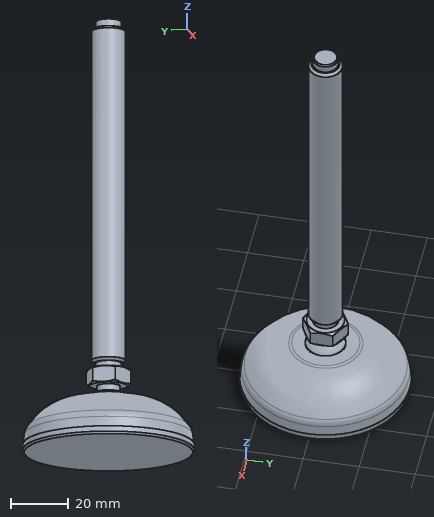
import cadquery as cq
import math


total_height = 154.7
foot_diameter = 60.0

pad_height = 2.7
pad_chamfer_height = 0.8
pad_chamfer_inset = 0.5

rim_top_z = 6.3
rim_top_radius = 29.5
shoulder_top_z = 8.8
shoulder_top_radius = 28.5
shoulder_mid_radius = 29.2
shoulder_mid_z = 7.7
dome_mid_radius = 21.9
dome_mid_z = 15.5
dome_top_radius = 12.95
dome_top_z = 18.8
foot_top_z = 19.1
foot_top_radius = 11.9

ball_radius = 16.0 / 2
socket_radius = 16.2 / 2
mouth_radius = 14.2 / 2
ball_centre_z = 14.6

lower_neck_radius = 8.06 / 2
hex_bottom_z = 23.7
hex_height = 6.0
hex_top_z = hex_bottom_z + hex_height
hex_sides = 6
hex_across_flats = 14.0
hex_across_corners = hex_across_flats / math.cos(math.pi / hex_sides)
hex_chamfer_radius = 13.28 / 2
hex_chamfer_angle = math.radians(25)
upper_neck_radius = 9.0 / 2
shank_radius = 12.0 / 2
shank_chamfer_height = 1.0
shank_bottom_z = 31.9
tip_radius = 9.0 / 2
tip_height = 3.0
tip_chamfer = 0.5
shank_top_z = total_height - tip_height


def turn(profile):
    """Close a half profile in the XZ plane and revolve it a full turn about Z."""
    return profile.close().revolve(360, (0, 0, 0), (0, 1, 0))


def make_pad():
    disc = cq.Workplane("XY").circle(foot_diameter / 2).extrude(pad_height)
    return disc.faces("<Z").chamfer(pad_chamfer_height, pad_chamfer_inset)


def make_ball(radius):
    return cq.Workplane("XY").sphere(radius).translate((0, 0, ball_centre_z))


def make_foot():
    dome = turn(
        cq.Workplane("XZ")
        .moveTo(0, pad_height)
        .lineTo(foot_diameter / 2, pad_height)
        .lineTo(rim_top_radius, rim_top_z)
        .threePointArc((shoulder_mid_radius, shoulder_mid_z), (shoulder_top_radius, shoulder_top_z))
        .threePointArc((dome_mid_radius, dome_mid_z), (dome_top_radius, dome_top_z))
        .lineTo(foot_top_radius, foot_top_z)
        .lineTo(0, foot_top_z)
    )
    mouth = (
        cq.Workplane("XY")
        .workplane(offset=ball_centre_z)
        .circle(mouth_radius)
        .extrude(foot_top_z - ball_centre_z)
    )
    return dome.cut(make_ball(socket_radius)).cut(mouth)


def make_hex():
    half_side_angle = 180 / hex_sides
    prism = (
        cq.Workplane("XY")
        .workplane(offset=hex_bottom_z)
        .polygon(hex_sides, hex_across_corners)
        .extrude(hex_height)
        .rotate((0, 0, 0), (0, 0, 1), half_side_angle)
    )
    corner_radius = hex_across_corners / 2
    bevel = (corner_radius - hex_chamfer_radius) * math.tan(hex_chamfer_angle)
    envelope = turn(
        cq.Workplane("XZ")
        .moveTo(0, hex_bottom_z)
        .lineTo(hex_chamfer_radius, hex_bottom_z)
        .lineTo(corner_radius, hex_bottom_z + bevel)
        .lineTo(corner_radius, hex_top_z - bevel)
        .lineTo(hex_chamfer_radius, hex_top_z)
        .lineTo(0, hex_top_z)
    )
    return prism.intersect(envelope)


def make_spindle():
    shank_end_radius = shank_radius - shank_chamfer_height
    rod = turn(
        cq.Workplane("XZ")
        .moveTo(0, ball_centre_z)
        .lineTo(lower_neck_radius, ball_centre_z)
        .lineTo(lower_neck_radius, hex_bottom_z)
        .lineTo(upper_neck_radius, hex_bottom_z)
        .lineTo(upper_neck_radius, shank_bottom_z)
        .lineTo(shank_end_radius, shank_bottom_z)
        .lineTo(shank_radius, shank_bottom_z + shank_chamfer_height)
        .lineTo(shank_radius, shank_top_z - shank_chamfer_height)
        .lineTo(shank_end_radius, shank_top_z)
        .lineTo(tip_radius, shank_top_z)
        .lineTo(tip_radius, total_height - tip_chamfer)
        .lineTo(tip_radius - tip_chamfer, total_height)
        .lineTo(0, total_height)
    )
    return rod.union(make_hex()).union(make_ball(ball_radius))


pad = make_pad()
foot = make_foot()
spindle = make_spindle()

result = cq.Compound.makeCompound([pad.val(), foot.val(), spindle.val()])